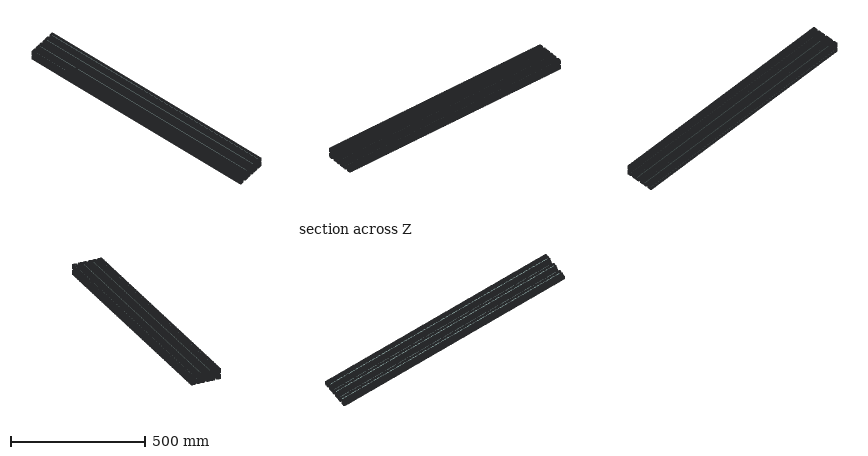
import cadquery as cq

length = 1000.0
module = 40.0
cell_count = 3
width = cell_count * module
height = module
half_cell = module / 2
corner_radius = 3.0
core_half = 7.4

slot_half_opening = 5.0
slot_half_step = 5.8
slot_step_depth = 1.5
slot_lip = 6.0
slot_half_pocket = 10.0
slot_floor_half = 6.5
slot_depth = half_cell - core_half
slot_slope = slot_half_pocket - slot_floor_half

groove_half_width = 6.0
groove_depth = 1.0

bore_radius = 5.2

hollow_half_width = half_cell - core_half
hollow_half_neck = 7.5
hollow_half_roof = 3.7
hollow_cover = 4.0
neck_top = 4.5
neck_bottom = 9.2
hollow_slope = hollow_half_width - hollow_half_neck

corner_wall = 2.9
corner_leg = 9.0

cell_centers = [(i - (cell_count - 1) / 2) * module for i in range(cell_count)]
joints = [y + half_cell for y in cell_centers[:-1]]


def along_x(outline):
    """Extrude a closed outline in the YZ plane over the whole length."""
    return outline.extrude(length)


def section():
    """Workplane at the -X end, with local x along Y and local y along Z."""
    return cq.Workplane("YZ", origin=(-length / 2, 0, 0))


def slot(y, z, angle):
    """T-slot whose opening is centred on (y, z); angle 0 opens upward."""
    right_side = [
        (slot_half_step, 0),
        (slot_half_step, -slot_step_depth),
        (slot_half_opening, -slot_step_depth),
        (slot_half_opening, -slot_lip),
        (slot_half_pocket, -slot_lip),
        (slot_half_pocket, slot_slope - slot_depth),
        (slot_floor_half, -slot_depth),
    ]
    left_side = [(-a, b) for a, b in reversed(right_side)]
    cutter = along_x(section().polyline(right_side + left_side).close())
    return cutter.rotate((0, 0, 0), (1, 0, 0), angle).translate((0, y, z))


def groove(y, side):
    """Flat-bottomed groove in the top (side 1) or bottom (side -1) face."""
    face_center = section().center(y, side * half_cell)
    return along_x(face_center.rect(2 * groove_half_width, 2 * groove_depth))


def hollow(y):
    """Sixteen-cornered hollow between the two cores beside the joint at y."""
    quarter = [
        (hollow_half_roof, half_cell - hollow_cover),
        (hollow_half_neck, half_cell - neck_top),
        (hollow_half_neck, half_cell - neck_bottom),
        (hollow_half_width, half_cell - neck_bottom - hollow_slope),
    ]
    right_half = quarter + [(a, -b) for a, b in reversed(quarter)]
    left_half = [(-a, b) for a, b in reversed(right_half)]
    return along_x(section().center(y, 0).polyline(right_half + left_half).close())


def corner_hollow(side_y, side_z):
    """Right-angled triangular hollow parallel to the two outer faces of a corner."""
    y = side_y * (width / 2 - corner_wall)
    z = side_z * (half_cell - corner_wall)
    points = [(y, z), (y - side_y * corner_leg, z), (y, z - side_z * corner_leg)]
    return along_x(section().polyline(points).close())


result = along_x(section().rect(width, height)).edges("|X").fillet(corner_radius)

for y in cell_centers:
    result = result.cut(slot(y, half_cell, 0)).cut(slot(y, -half_cell, 180))
    result = result.cut(along_x(section().center(y, 0).circle(bore_radius)))

result = result.cut(slot(width / 2, 0, -90)).cut(slot(-width / 2, 0, 90))

for y in joints:
    result = result.cut(groove(y, 1)).cut(groove(y, -1)).cut(hollow(y))

for side_y in (1, -1):
    for side_z in (1, -1):
        result = result.cut(corner_hollow(side_y, side_z))